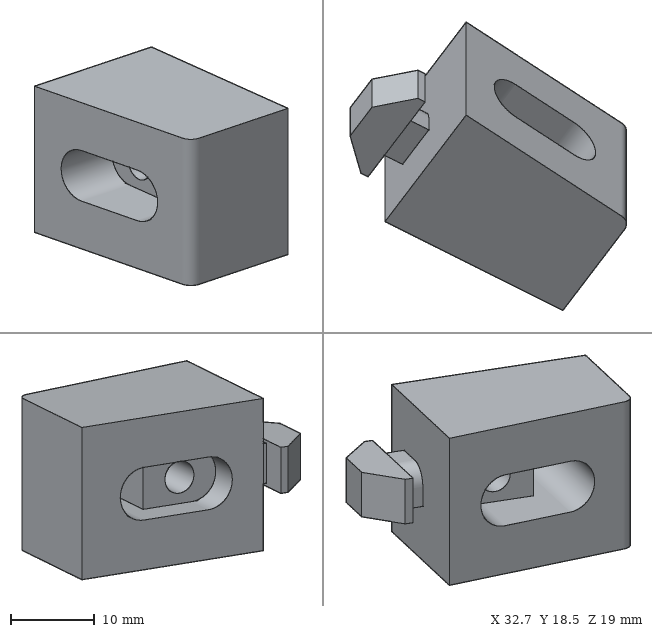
import cadquery as cq

overall_length = 32.7

housing_length = 25.0
housing_height = 19.0
left_depth = 18.5
right_depth = 15.4
corner_radius = 1.5
housing_left = overall_length - housing_length

slot_length = 15.45
slot_height = 6.57
slot_center_x = 19.7
slot_left = slot_center_x - slot_length / 2

slider_center_y = -7.0
head_length = 5.0
head_width = 13.0
head_tip_width = 5.0
head_rim = 1.0
head_height = 5.75
neck_width = 6.0
neck_height = 5.0
neck_round = neck_height / 2
tongue_length = 10.0
tongue_hole_diameter = 4.0
tongue_center_x = slot_left + tongue_length / 2


def make_head():
    """Trapezoidal plate with a narrow straight rim on its wide side."""
    half_width = head_width / 2
    half_tip = head_tip_width / 2
    rim_start = head_length - head_rim
    outline = [
        (0, half_tip),
        (rim_start, half_width),
        (head_length, half_width),
        (head_length, -half_width),
        (rim_start, -half_width),
        (0, -half_tip),
    ]
    head = cq.Workplane("XY").polyline(outline).close().extrude(head_height / 2, both=True)
    return head.translate((0, slider_center_y, 0))


def make_neck():
    """Bar from the head to the tongue, with its upper front edge rounded."""
    length = slot_left - head_length
    neck = cq.Workplane("XY").box(length, neck_width, neck_height)
    neck = neck.edges("|X and >Z").edges("<Y").fillet(neck_round)
    return neck.translate((head_length + length / 2, slider_center_y, 0))


def make_tongue():
    """Block inside the housing, as thick as the neck and as tall as the slot."""
    tongue = cq.Workplane("XY").box(tongue_length, neck_width, slot_height)
    return tongue.translate((tongue_center_x, slider_center_y, 0))


def make_slider():
    """Head, neck and tongue in one piece, with a round hole through the tongue."""
    hole = (
        cq.Workplane("XZ")
        .center(tongue_center_x, 0)
        .circle(tongue_hole_diameter / 2)
        .extrude(left_depth)
    )
    return make_head().union(make_neck()).union(make_tongue()).cut(hole)


def make_housing():
    """Block with a sloping front, a through slot and a cavity that fits the slider."""
    outline = [
        (housing_left, 0),
        (overall_length, 0),
        (overall_length, -right_depth),
        (housing_left, -left_depth),
    ]
    block = cq.Workplane("XY").polyline(outline).close().extrude(housing_height / 2, both=True)
    block = block.edges("|Z and >X").edges("<Y").fillet(corner_radius)
    slot = (
        cq.Workplane("XZ")
        .center(slot_center_x, 0)
        .slot2D(slot_length, slot_height)
        .extrude(left_depth)
    )
    return block.cut(slot).cut(make_neck()).cut(make_tongue())


housing = make_housing()
slider = make_slider()

result = cq.Compound.makeCompound([housing.val(), slider.val()])